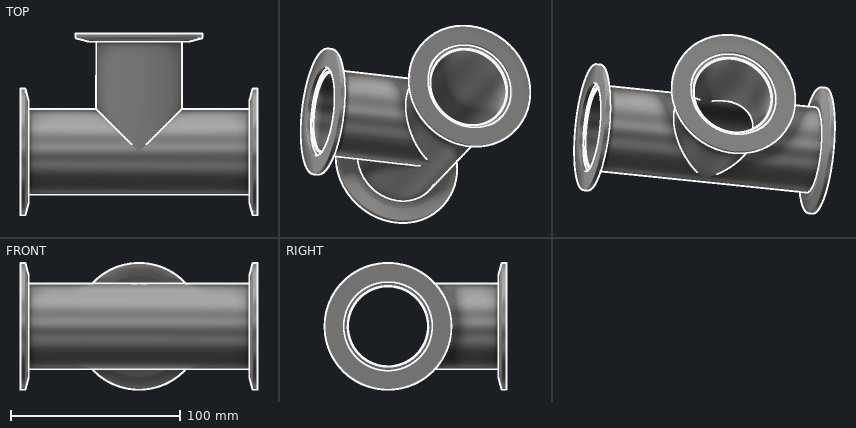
import cadquery as cq
import math

run_length = 140.0
branch_reach = run_length / 2
tube_diameter = 50.8
tube_bore = 47.0

flange_diameter = 75.0
flange_thickness = 5.0
flange_bore = 47.9
back_face_diameter = 59.6
cone_angle = math.radians(15.0)
rim_fillet = 1.0
front_edge_fillet = 0.3
recess_diameter = 52.4
recess_depth = 2.7
tube_seat_depth = 3.6

tube_radius = tube_diameter / 2
bore_radius = tube_bore / 2
flange_radius = flange_diameter / 2
back_face_radius = back_face_diameter / 2
rim_width = flange_thickness - (flange_radius - back_face_radius) * math.tan(cone_angle)

ports = [
    (cq.Vector(-1, 0, 0), run_length / 2),
    (cq.Vector(1, 0, 0), run_length / 2),
    (cq.Vector(0, 1, 0), branch_reach),
]


def make_tee_cylinders(radius):
    """Crossing run and branch cylinders, ending at the tube ends."""
    half_run = run_length / 2 - tube_seat_depth
    branch_length = branch_reach - tube_seat_depth
    run = cq.Workplane("YZ", origin=(-half_run, 0, 0)).circle(radius).extrude(2 * half_run)
    branch = cq.Workplane("XZ").circle(radius).extrude(-branch_length)
    return run.union(branch)


def make_tee():
    """Equal tee of thin tube, open at all three ends."""
    return make_tee_cylinders(tube_radius).cut(make_tee_cylinders(bore_radius))


def make_flange(direction, distance):
    """Clamp flange whose front face looks outward at the given distance."""
    front = cq.Plane(origin=direction * distance, xDir=(0, 0, 1), normal=-direction)
    half_section = (
        cq.Workplane("XZ")
        .moveTo(recess_diameter / 2, 0)
        .lineTo(flange_radius, 0)
        .lineTo(flange_radius, rim_width)
        .lineTo(back_face_radius, flange_thickness)
        .lineTo(tube_radius, flange_thickness)
        .lineTo(tube_radius, tube_seat_depth)
        .lineTo(flange_bore / 2, tube_seat_depth)
        .lineTo(flange_bore / 2, recess_depth)
        .lineTo(recess_diameter / 2, recess_depth)
        .close()
    )
    flange = half_section.revolve(360, (0, 0, 0), (0, 1, 0))
    flange = flange.edges(cq.selectors.RadiusNthSelector(-1)).edges(">Z").fillet(rim_fillet)
    flange = flange.faces("<Z").edges().fillet(front_edge_fillet)
    return flange.val().moved(cq.Location(front))


tee = make_tee()
flanges = [make_flange(direction, distance) for direction, distance in ports]

result = cq.Compound.makeCompound([tee.val(), *flanges])